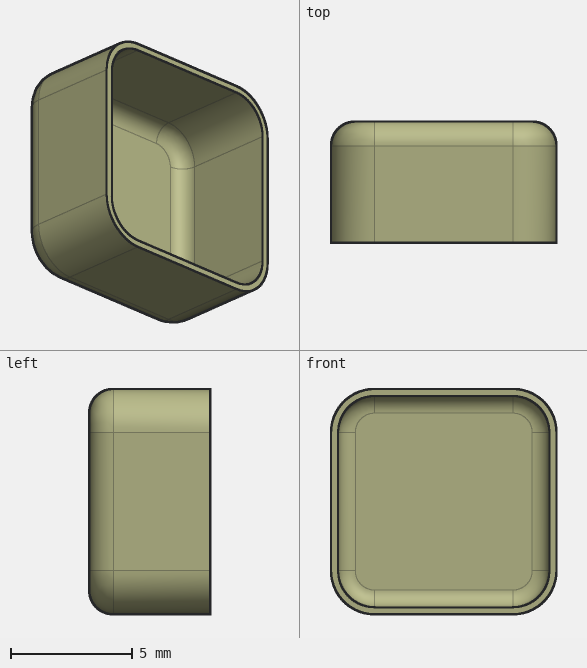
import cadquery as cq

side = 9.3
depth = 5.0
wall = 0.3
corner_radius = 1.8
back_radius = 1.0

cavity_side = side - 2 * wall
cavity_depth = depth - wall
cavity_corner_radius = corner_radius - wall
cavity_back_radius = back_radius - wall


def rounded_block(width, length, corner, back):
    """Square block from Y = 0 towards +Y, with rounded corners and back edge."""
    block = cq.Workplane("XZ").rect(width, width).extrude(-length)
    return block.edges("|Y").fillet(corner).faces(">Y").edges().fillet(back)


shell = rounded_block(side, depth, corner_radius, back_radius)
cavity = rounded_block(cavity_side, cavity_depth, cavity_corner_radius, cavity_back_radius)

result = shell.cut(cavity)